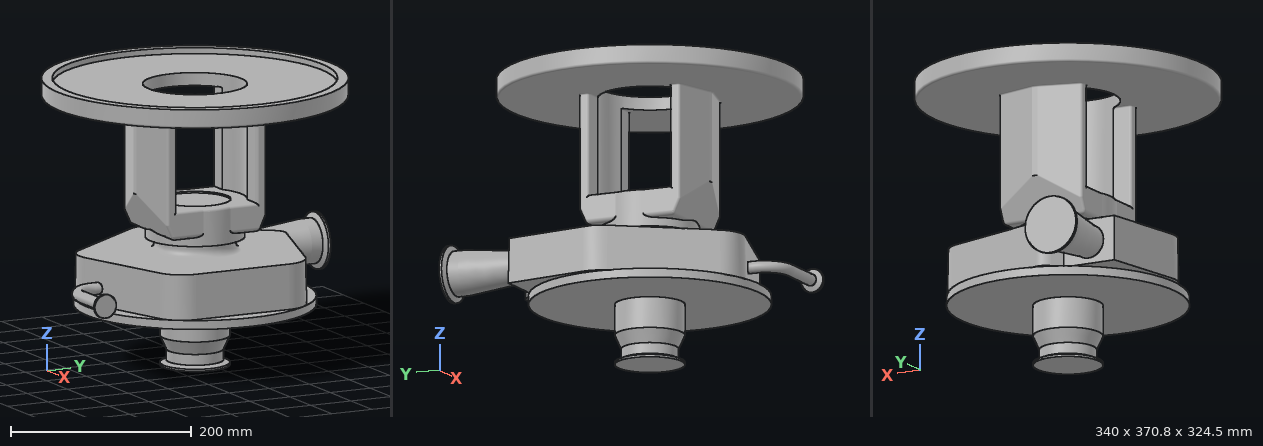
import cadquery as cq
import math

overall_height = 324.5
base_bottom = 68.2
base_top = 78.2
casing_top = 129.5
hub_bottom = 145.0
yoke_bottom = 154.5
window_floor = 187.2
table_bottom = 303.0

table_radius = 170.0
table_recess_radius = 158.0
table_recess_depth = 6.5
table_bore_radius = 58.0
table_edge_fillet = 3.0

leg_half_width = 52.5
leg_ridge_half_width = 3.5
leg_ridge_y = 75.0
leg_side_y = 61.0
leg_bevel_top = 200
yoke_foot_y = 53.8
window_half_width = 49.5
hub_radius = 55.2
yoke_edge_fillet = 3.5
yoke_joint_fillet = 2.0
yoke_bottom_fillet = 5.2
floor_recess_radius = 39.5
floor_recess_depth = 2.0

neck_radius = 45.2
neck_flare = 9.5

base_radius = 134.5
casing_sides = 5
casing_apothem = 115.3
casing_corner_fillet = 35.0
casing_outlet_fillet = 15
casing_draft = 1
shoulder_x = -123.8
shoulder_y = 114.5

inlet_radius = 39.0
inlet_small_radius = 32.0
inlet_cone_top = 33.5
inlet_cone_bottom = 17.8
inlet_flange_height = 5.5
inlet_rim_height = 2.5

outlet_x = -91.0
outlet_z = 103.5
outlet_end_y = 199.8
outlet_radius = 25.5
outlet_root_radius = 19.0
outlet_cone_end_y = 179.8
outlet_root_y = 119.5
outlet_flange_radius = 32.3
outlet_flange_length = 6.3
outlet_rim_length = 3.0

drain_z = 98.0
drain_radius = 6.5
drain_bend_radius = 29.5
drain_run_y = -157.5
drain_end_x = 89
drain_flange_radius = 13.5
drain_flange_length = 6.0
drain_rim_length = 2.5

selection_margin = 0.5


def disc(radius, bottom, top):
    """Solid cylinder on the main axis between two levels."""
    return cq.Workplane("XY").workplane(offset=bottom).circle(radius).extrude(top - bottom)


def turned(profile):
    """Solid of revolution about Z from (radius, height) points, closed along the axis."""
    points = [(0, profile[0][1])] + profile + [(0, profile[-1][1])]
    return cq.Workplane("XZ").polyline(points).close().revolve(360, (0, 0), (0, 1))


def make_table():
    """Round table with a shallow recess in its top."""
    table = disc(table_radius, table_bottom, overall_height).faces("<Z").edges().fillet(table_edge_fillet)
    recess = disc(table_recess_radius, overall_height - table_recess_depth, overall_height)
    return table.cut(recess)


def make_yoke():
    """Two ridged legs with beveled feet, joined by a floor over a round hub."""
    outline = [
        (leg_ridge_half_width, -leg_ridge_y),
        (leg_half_width, -leg_side_y),
        (leg_half_width, leg_side_y),
        (leg_ridge_half_width, leg_ridge_y),
    ]
    outline += [(-x, y) for x, y in reversed(outline)]
    plan = (
        cq.Workplane("XY").workplane(offset=yoke_bottom)
        .polyline(outline).close().extrude(table_bottom - yoke_bottom)
    )
    side = [
        (yoke_foot_y, yoke_bottom),
        (leg_ridge_y, leg_bevel_top),
        (leg_ridge_y, table_bottom),
    ]
    side += [(-y, z) for y, z in reversed(side)]
    bevel = cq.Workplane("YZ").polyline(side).close().extrude(leg_half_width, both=True)

    yoke = plan.intersect(bevel)
    yoke = yoke.faces("<Z").edges().fillet(yoke_bottom_fillet)
    yoke = yoke.edges(leg_corners(1) + leg_corners(-1)).fillet(yoke_edge_fillet)
    yoke = yoke.union(disc(hub_radius, hub_bottom, window_floor))

    window = (
        cq.Workplane("XY").workplane(offset=window_floor)
        .rect(4 * leg_half_width, 2 * window_half_width)
        .extrude(table_bottom - window_floor)
    )
    yoke = yoke.cut(window)
    return yoke.edges(window_rim(1) + window_rim(-1)).fillet(yoke_edge_fillet)


def leg_corners(direction):
    """Selector for the legs' upright and bevel edges, ridge excluded, on the +X (1) or -X (-1) side."""
    foot_top = yoke_bottom + 1.2 * yoke_bottom_fillet
    return cq.selectors.BoxSelector(
        (direction * 2 * leg_ridge_half_width, -leg_ridge_y, foot_top),
        (direction * 2 * leg_half_width, leg_ridge_y, table_bottom - selection_margin),
    )


def window_rim(direction):
    """Selector for the window's rim edges on the +X (1) or -X (-1) side."""
    margin = selection_margin
    return cq.selectors.BoxSelector(
        (direction * (leg_half_width - margin), -window_half_width - margin, window_floor - margin),
        (direction * (hub_radius + margin), window_half_width + margin, table_bottom),
    )


def make_neck():
    """Round neck with a concave flare onto the casing."""
    flare_radius = neck_radius + neck_flare
    flare_top = casing_top + neck_flare
    arc_offset = neck_flare * (1 - math.sqrt(0.5))
    return (
        cq.Workplane("XZ").moveTo(0, casing_top)
        .lineTo(flare_radius, casing_top)
        .threePointArc(
            (neck_radius + arc_offset, casing_top + arc_offset),
            (neck_radius, flare_top),
        )
        .lineTo(neck_radius, hub_bottom).lineTo(0, hub_bottom).close()
        .revolve(360, (0, 0), (0, 1))
    )


def make_casing():
    """Drafted pentagon whose upper left side steps out to carry the outlet."""
    half_turn = math.pi / casing_sides
    corner_radius = casing_apothem / math.cos(half_turn)
    corners = [
        (
            corner_radius * math.cos(math.pi + 2 * half_turn * index),
            corner_radius * math.sin(math.pi + 2 * half_turn * index),
        )
        for index in range(casing_sides)
    ]
    side_angle = math.pi - half_turn
    inner_x = (casing_apothem - shoulder_y * math.sin(side_angle)) / math.cos(side_angle)
    outline = corners + [(inner_x, shoulder_y), (shoulder_x, shoulder_y)]
    casing = (
        cq.Workplane("XY").workplane(offset=base_top)
        .polyline(outline).close().extrude(casing_top - base_top, taper=casing_draft)
    )
    for index, (x, y) in enumerate(corners):
        radius = casing_outlet_fillet if index == casing_sides - 1 else casing_corner_fillet
        corner = cq.selectors.NearestToPointSelector((x, y, (base_top + casing_top) / 2))
        casing = casing.edges(corner).fillet(radius)
    return casing.union(disc(base_radius, base_bottom, base_top))


def make_inlet():
    """Stepped pipe with a conical reduction and an end flange."""
    return turned([
        (inlet_radius, 0),
        (inlet_radius, inlet_rim_height),
        (inlet_small_radius, inlet_flange_height),
        (inlet_small_radius, inlet_cone_bottom),
        (inlet_radius, inlet_cone_top),
        (inlet_radius, base_bottom),
    ])


def make_outlet():
    """Tapered pipe, turned upright and then laid along +Y."""
    pipe = turned([
        (outlet_root_radius, 0),
        (outlet_root_radius, outlet_root_y),
        (outlet_radius, outlet_cone_end_y),
        (outlet_radius, outlet_end_y - outlet_flange_length),
        (outlet_flange_radius, outlet_end_y - outlet_rim_length),
        (outlet_flange_radius, outlet_end_y),
    ])
    pipe = pipe.rotate((0, 0, 0), (1, 0, 0), -90)
    return pipe.translate((outlet_x, 0, outlet_z))


def make_drain():
    """Bent drain tube with a small flange, starting inside the casing."""
    bend_start_y = drain_run_y + drain_bend_radius
    arc_offset = drain_bend_radius * (1 - math.sqrt(0.5))
    path = (
        cq.Workplane("XY").workplane(offset=drain_z).moveTo(0, -casing_apothem / 2)
        .lineTo(0, bend_start_y)
        .threePointArc((arc_offset, drain_run_y + arc_offset), (drain_bend_radius, drain_run_y))
        .lineTo(drain_end_x, drain_run_y)
    )
    tube = (
        cq.Workplane("XZ", origin=(0, -casing_apothem / 2, drain_z))
        .circle(drain_radius).sweep(path)
    )
    flange = turned([
        (drain_radius, 0),
        (drain_flange_radius, drain_flange_length - drain_rim_length),
        (drain_flange_radius, drain_flange_length),
    ])
    flange = flange.rotate((0, 0, 0), (0, 1, 0), 90)
    flange = flange.translate((drain_end_x - drain_flange_length, drain_run_y, drain_z))
    return tube.union(flange)


result = make_table().union(make_yoke())
leg_joint = cq.selectors.BoxSelector(
    (-leg_half_width, -leg_ridge_y - selection_margin, table_bottom - selection_margin),
    (leg_half_width, leg_ridge_y + selection_margin, table_bottom + selection_margin),
)
result = result.edges(leg_joint).fillet(yoke_joint_fillet)

result = result.cut(disc(table_bore_radius, window_floor, overall_height))
result = result.cut(disc(floor_recess_radius, window_floor - floor_recess_depth, window_floor))

for section in (make_neck(), make_casing(), make_inlet(), make_outlet(), make_drain()):
    result = result.union(section)